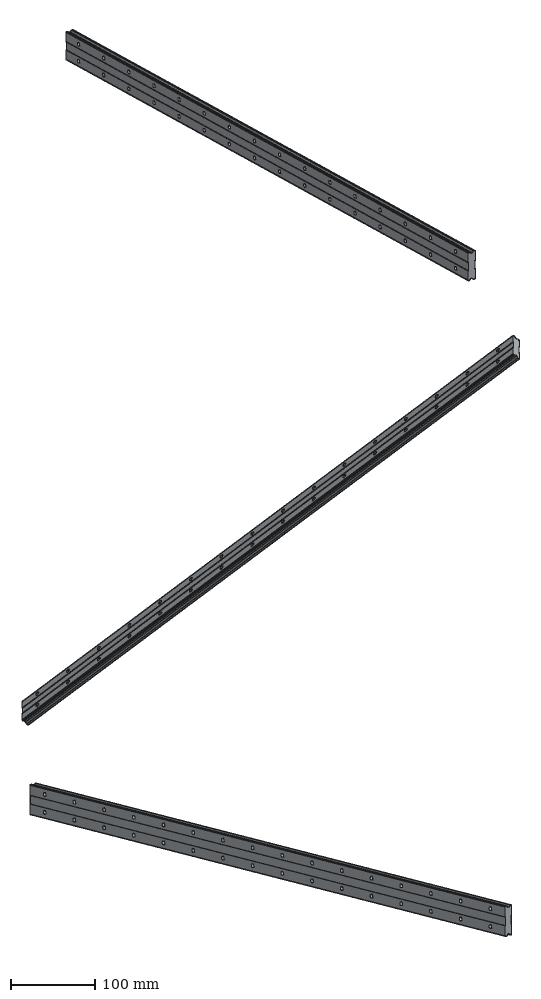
import cadquery as cq
import math

LENGTH = 800.0
THICKNESS = 11.0
HEIGHT = 37.0
CORNER_CHAMFER = 0.75

CHANNEL_WIDTH = 10.6
CHANNEL_DEPTH = 0.65

GROOVE_OFFSET_Y = -0.5
GROOVE_FLOOR_WIDTH = 2.0
GROOVE_DEPTH = 2.0
TRACK_HEIGHT = 1.0
TRACK_RADIUS = 3.5

HOLE_DIAMETER = 4.5
HOLE_PITCH = 50.0
HOLES_PER_ROW = int(LENGTH / HOLE_PITCH)
ROW_SPACING = 22.0


def rail_bar():
    """Rectangular bar with its four long corners chamfered."""
    bar = cq.Workplane("XY").box(LENGTH, THICKNESS, HEIGHT)
    return bar.edges("|X").chamfer(CORNER_CHAMFER)


def face_channel(side):
    """Cutter for the central channel in the broad face on the given Y side."""
    channel = cq.Workplane("XY").box(LENGTH, 2 * CHANNEL_DEPTH, CHANNEL_WIDTH)
    return channel.translate((0, side * THICKNESS / 2, 0))


def top_groove():
    """Cutter for the running groove in the top edge."""
    top = HEIGHT / 2
    floor_half = GROOVE_FLOOR_WIDTH / 2
    mouth_half = floor_half + GROOVE_DEPTH
    track_foot_half = mouth_half - TRACK_HEIGHT

    half_chord = TRACK_HEIGHT * math.sqrt(2) / 2
    track_depth = TRACK_RADIUS - math.sqrt(TRACK_RADIUS**2 - half_chord**2)
    shift = track_depth / math.sqrt(2)
    track_mid_half = mouth_half - TRACK_HEIGHT / 2 + shift
    track_mid_z = top - TRACK_HEIGHT / 2 - shift

    profile = (
        cq.Workplane("YZ")
        .moveTo(-floor_half, top - GROOVE_DEPTH)
        .lineTo(floor_half, top - GROOVE_DEPTH)
        .lineTo(track_foot_half, top - TRACK_HEIGHT)
        .threePointArc((track_mid_half, track_mid_z), (mouth_half, top))
        .lineTo(-mouth_half, top)
        .threePointArc((-track_mid_half, track_mid_z), (-track_foot_half, top - TRACK_HEIGHT))
        .close()
    )
    groove = profile.extrude(LENGTH / 2, both=True)
    return groove.translate((0, GROOVE_OFFSET_Y, 0))


def mounting_holes():
    """Cutters for the two rows of holes, drilled right through along Y."""
    return (
        cq.Workplane("XZ")
        .rarray(HOLE_PITCH, ROW_SPACING, HOLES_PER_ROW, 2)
        .circle(HOLE_DIAMETER / 2)
        .extrude(THICKNESS, both=True)
    )


result = rail_bar()
for face_side in (-1, 1):
    result = result.cut(face_channel(face_side))
groove_cutter = top_groove()
result = result.cut(groove_cutter)
result = result.cut(groove_cutter.mirror("XY"))
result = result.cut(mounting_holes())